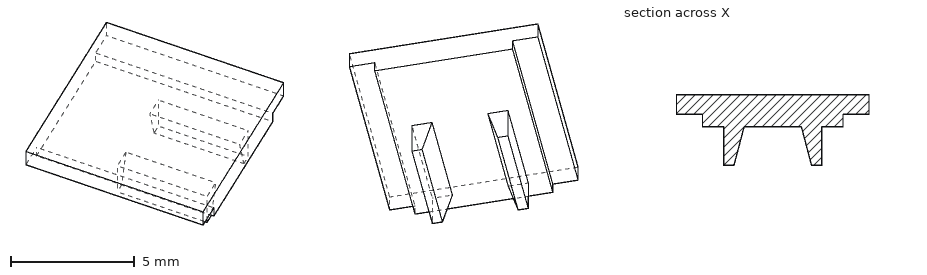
import cadquery as cq

plate_length = 7.9
plate_width = 7.8
plate_thickness = 0.8

step_width = 5.7
step_thickness = 0.5

overall_height = 2.86
leg_length = 4.0
leg_center_x = 1.25
leg_outer_span = 3.97
leg_root_thickness = 0.83
leg_tip_thickness = 0.42

step_top_z = -plate_thickness
step_bottom_z = step_top_z - step_thickness
leg_tip_z = -overall_height


def centered_slab(width, thickness, top_z):
    """Full-length slab centred on the Z axis, hanging down from top_z."""
    return (
        cq.Workplane("XY")
        .box(plate_length, width, thickness, centered=(True, True, False))
        .translate((0, 0, top_z - thickness))
    )


def leg(side):
    """Leg with a vertical outer face and a sloped inner face; side is +1 or -1 along Y."""
    outer_y = leg_outer_span / 2
    profile = [
        (side * outer_y, step_bottom_z),
        (side * outer_y, leg_tip_z),
        (side * (outer_y - leg_tip_thickness), leg_tip_z),
        (side * (outer_y - leg_root_thickness), step_bottom_z),
    ]
    return (
        cq.Workplane("YZ", origin=(leg_center_x - leg_length / 2, 0, 0))
        .polyline(profile)
        .close()
        .extrude(leg_length)
    )


result = centered_slab(plate_width, plate_thickness, 0)
result = result.union(centered_slab(step_width, step_thickness, step_top_z))
for side in (-1, 1):
    result = result.union(leg(side))